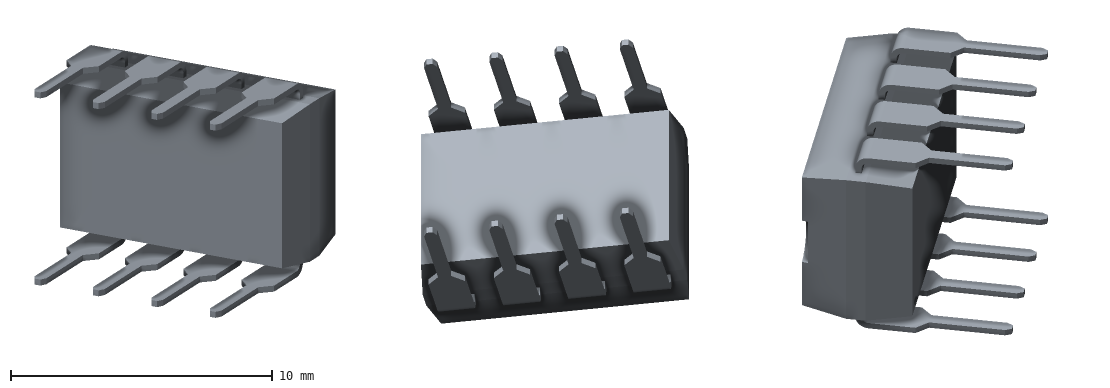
import cadquery as cq

body_length = 10.16
body_height = 6.42
body_depth = 4.3
band_depth = 0.76
face_inset = 0.25
lead_span = 7.87
overall_depth = 8.02

lead_count = 4
lead_pitch = 2.54
lead_thickness = 0.24
bend_radius = 0.5
shoulder_width = 1.41
pin_width = 0.51
pin_length = 3.2
tip_width = 0.24
tip_length = 0.24

notch_radius = 0.95
notch_depth = 0.24

back_y = body_depth / 2
tip_y = back_y - overall_depth
pin_top_y = tip_y + pin_length
shoulder_y = pin_top_y + (shoulder_width - pin_width) / 2
lead_back_y = lead_thickness / 2
lead_outer_z = lead_span / 2


def body_half(side):
    """Tapered half of the body; side is +1 for the back and -1 for the front."""
    band_edge = side * band_depth / 2
    taper_depth = (body_depth - band_depth) / 2
    return (
        cq.Workplane("XZ", origin=(0, band_edge, 0))
        .rect(body_length, body_height)
        .workplane(offset=-side * taper_depth)
        .rect(body_length - 2 * face_inset, body_height - 2 * face_inset)
        .loft(ruled=True)
    )


def body():
    """Banded body with a round notch centred on the -X edge of the back face."""
    notch_x = face_inset - body_length / 2
    band = cq.Workplane("XY").box(body_length, band_depth, body_height)
    notch = (
        cq.Workplane("XZ", origin=(notch_x, back_y, 0))
        .circle(notch_radius)
        .extrude(notch_depth)
    )
    return band.union(body_half(1)).union(body_half(-1)).cut(notch)


def upper_lead():
    """Lead of the upper row at X = 0: bent strip trimmed to the stepped pin outline."""
    strip = (
        cq.Workplane("YZ", origin=(-shoulder_width / 2, 0, 0))
        .moveTo(lead_back_y, 0)
        .lineTo(lead_back_y, lead_outer_z)
        .lineTo(tip_y, lead_outer_z)
        .lineTo(tip_y, lead_outer_z - lead_thickness)
        .lineTo(lead_back_y - lead_thickness, lead_outer_z - lead_thickness)
        .lineTo(lead_back_y - lead_thickness, 0)
        .close()
        .extrude(shoulder_width)
    )
    outer_corner = cq.selectors.NearestToPointSelector((0, lead_back_y, lead_outer_z))
    inner_corner = cq.selectors.NearestToPointSelector(
        (0, lead_back_y - lead_thickness, lead_outer_z - lead_thickness)
    )
    strip = strip.edges("|X").edges(outer_corner).fillet(bend_radius)
    strip = strip.edges("|X").edges(inner_corner).fillet(bend_radius - lead_thickness)

    right_side = [
        (shoulder_width / 2, lead_back_y),
        (shoulder_width / 2, shoulder_y),
        (pin_width / 2, pin_top_y),
        (pin_width / 2, tip_y + tip_length),
        (tip_width / 2, tip_y),
    ]
    left_side = [(-x, y) for x, y in reversed(right_side)]
    outline = cq.Workplane("XY").polyline(right_side + left_side).close().extrude(lead_outer_z)
    return strip.intersect(outline)


result = body()
lead = upper_lead()
for row in (lead, lead.mirror("XY")):
    for index in range(lead_count):
        lead_x = (index - (lead_count - 1) / 2) * lead_pitch
        result = result.union(row.translate((lead_x, 0, 0)))